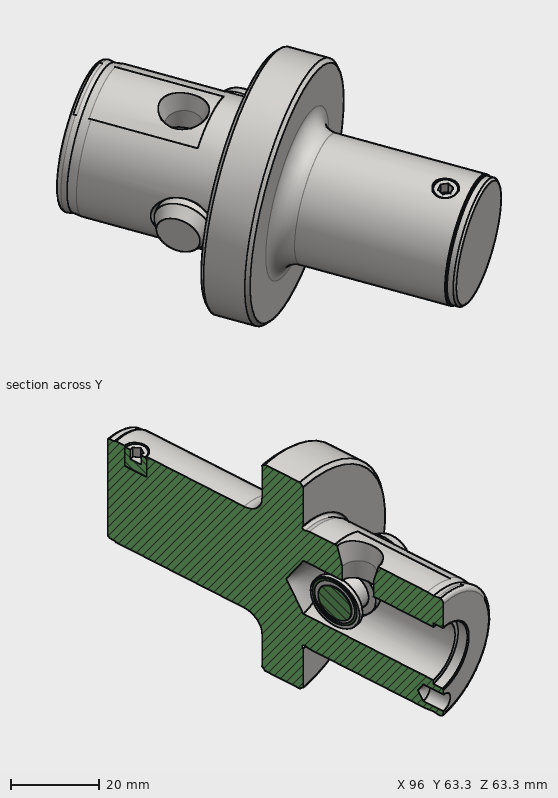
import cadquery as cq
import math

length = 96.0

flange_diameter = 63.3
flange_radius = flange_diameter / 2
flange_start = 40.0
flange_end = 51.9
flange_chamfer = 1.0

plug_radius = 18.0
plug_face_radius = 16.9
crown_x = 1.3
groove_radius = 17.8
groove_x = 2.8
groove_end = 5.1
relief_start = 38.3
relief_x = 39.5
relief_floor_radius = 17.8
relief_outer_radius = 18.7
relief_depth = 0.3

shaft_radius = 15.6
shaft_fillet = 5.1
shaft_end = 93.5
bevel_x = 93.8
bevel_radius = 15.5
tip_start = 94.0
tip_radius = 15.3
tip_chamfer = 0.6

panel_end = 31.0
panel_width = 17.0
panel_depth = 0.06

bore_radius = 8.1
bore_depth = 40.0
drill_tip_angle = 118.0
counterbore_radius = 9.2
counterbore_depth = 2.9
counterbore_chamfer = 0.3

locating_radius = 2.5
locating_z = -13.5
locating_depth = 5.8

access_x = 24.5
access_top_radius = 5.9
access_radius = 4.4
access_half_angle = 15.0

pin_x = 31.1
pin_radius = 7.0
pin_half_length = 21.5
pin_taper_length = 3.1
pin_tip_radius = 5.3
pin_mouth_radius = 8.0
pin_mouth_half_angle = 30.0
neck_radius = 5.0
neck_start = -6.1
neck_end = -1.2
ring_groove_radius = 4.8
ring_groove_start = -0.1
ring_groove_end = 1.1

ring_section_radius = (ring_groove_end - ring_groove_start) / 2
ring_outer_radius = 6.6
ring_offset_z = 0.43

screw_x = 87.9
screw_radius = 3.1
screw_top = 15.2
screw_length = 5.8
screw_chamfer = 0.3
socket_width = 3.1
socket_depth = 2.9


def cone_length(radius, half_angle):
    """Axial length over which a cone of this half angle changes by this radius."""
    return radius / math.tan(math.radians(half_angle))


def revolve_about_x(profile):
    return profile.close().revolve(360, (0, 0, 0), (1, 0, 0))


def turned_blank():
    """Plug, flange and shaft as one turned shape."""
    front_radius = plug_radius - plug_face_radius
    front_mid = (
        crown_x * (1 - math.sqrt(0.5)),
        plug_face_radius + front_radius * math.sqrt(0.5),
    )
    fillet_mid = (
        flange_end + shaft_fillet * (1 - math.sqrt(0.5)),
        shaft_radius + shaft_fillet * (1 - math.sqrt(0.5)),
    )
    relief_mid_radius = (relief_floor_radius + relief_outer_radius) / 2
    profile = (
        cq.Workplane("XY")
        .lineTo(0, plug_face_radius)
        .threePointArc(front_mid, (crown_x, plug_radius))
        .lineTo(groove_x, groove_radius)
        .lineTo(groove_end, plug_radius)
        .lineTo(relief_start, plug_radius)
        .lineTo(relief_x, relief_floor_radius)
        .threePointArc((flange_start + relief_depth, relief_mid_radius), (flange_start, relief_outer_radius))
        .lineTo(flange_start, flange_radius - flange_chamfer)
        .lineTo(flange_start + flange_chamfer, flange_radius)
        .lineTo(flange_end - flange_chamfer, flange_radius)
        .lineTo(flange_end, flange_radius - flange_chamfer)
        .lineTo(flange_end, shaft_radius + shaft_fillet)
        .threePointArc(fillet_mid, (flange_end + shaft_fillet, shaft_radius))
        .lineTo(shaft_end, shaft_radius)
        .lineTo(bevel_x, bevel_radius)
        .lineTo(tip_start, tip_radius)
        .lineTo(length - tip_chamfer, tip_radius)
        .lineTo(length, tip_radius - tip_chamfer)
        .lineTo(length, 0)
    )
    return revolve_about_x(profile)


def panel_recess():
    """Thin shell segment removed from the top of the plug."""
    height = 2 * plug_radius
    block = cq.Workplane("XY").box(panel_end, panel_width, height, centered=(False, True, False))
    core = cq.Workplane("YZ").circle(plug_radius - panel_depth).extrude(panel_end)
    return block.cut(core)


def central_bore():
    """Stepped bore with a chamfered mouth and a drill-point bottom."""
    tip_length = cone_length(bore_radius, drill_tip_angle / 2)
    profile = (
        cq.Workplane("XY")
        .lineTo(0, counterbore_radius + counterbore_chamfer)
        .lineTo(counterbore_chamfer, counterbore_radius)
        .lineTo(counterbore_depth, counterbore_radius)
        .lineTo(counterbore_depth, bore_radius)
        .lineTo(bore_depth, bore_radius)
        .lineTo(bore_depth + tip_length, 0)
    )
    return revolve_about_x(profile)


def locating_hole():
    tip_length = cone_length(locating_radius, drill_tip_angle / 2)
    profile = (
        cq.Workplane("XY")
        .lineTo(0, locating_radius)
        .lineTo(locating_depth, locating_radius)
        .lineTo(locating_depth + tip_length, 0)
    )
    return revolve_about_x(profile).translate((0, 0, locating_z))


def access_hole():
    """Tapered hole running on as a plain hole into the bore; the taper is extended above the surface."""
    taper = cone_length(access_top_radius - access_radius, access_half_angle)
    profile = (
        cq.Workplane("XZ")
        .lineTo(access_radius, 0)
        .lineTo(access_radius, plug_radius - taper)
        .lineTo(2 * access_top_radius - access_radius, plug_radius + taper)
        .lineTo(0, plug_radius + taper)
        .close()
    )
    return profile.revolve(360, (0, 0, 0), (0, 1, 0)).translate((access_x, 0, 0))


def pin_passage():
    """Cross hole for the pin, countersunk at both ends."""
    taper = cone_length(pin_mouth_radius - pin_radius, pin_mouth_half_angle)
    half = (
        cq.Workplane("XY")
        .lineTo(pin_radius, 0)
        .lineTo(pin_radius, plug_radius - taper)
        .lineTo(pin_mouth_radius, plug_radius)
        .lineTo(0, plug_radius)
        .close()
        .revolve(360, (0, 0, 0), (0, 1, 0))
    )
    return half.union(half.mirror("XZ")).translate((pin_x, 0, 0))


def screw_hole():
    depth = shaft_radius - screw_top + screw_length
    return (
        cq.Workplane("XY", origin=(screw_x, 0, shaft_radius))
        .circle(screw_radius)
        .extrude(-depth)
    )


def make_housing():
    return (
        turned_blank()
        .cut(panel_recess())
        .cut(central_bore())
        .cut(locating_hole())
        .cut(access_hole())
        .cut(pin_passage())
        .cut(screw_hole())
    )


def make_cross_pin():
    """Pin with tapered ends, a necked middle and a groove for the sealing ring."""
    straight_half = pin_half_length - pin_taper_length
    return (
        cq.Workplane("XY")
        .moveTo(0, -pin_half_length)
        .lineTo(pin_tip_radius, -pin_half_length)
        .lineTo(pin_radius, -straight_half)
        .lineTo(pin_radius, neck_start)
        .lineTo(neck_radius, neck_start)
        .lineTo(neck_radius, neck_end)
        .lineTo(pin_radius, neck_end)
        .lineTo(pin_radius, ring_groove_start)
        .lineTo(ring_groove_radius, ring_groove_start)
        .lineTo(ring_groove_radius, ring_groove_end)
        .lineTo(pin_radius, ring_groove_end)
        .lineTo(pin_radius, straight_half)
        .lineTo(pin_tip_radius, pin_half_length)
        .lineTo(0, pin_half_length)
        .close()
        .revolve(360, (0, 0, 0), (0, 1, 0))
        .translate((pin_x, 0, 0))
    )


def make_sealing_ring():
    groove_middle = (ring_groove_start + ring_groove_end) / 2
    ring_middle_radius = ring_outer_radius - ring_section_radius
    return (
        cq.Workplane("XY")
        .moveTo(ring_middle_radius, 0)
        .circle(ring_section_radius)
        .revolve(360, (0, 0, 0), (0, 1, 0))
        .translate((pin_x, groove_middle, ring_offset_z))
    )


def make_set_screw():
    """Headless screw with a hexagon socket whose corners point along Y."""
    socket_corner_diameter = socket_width / math.cos(math.radians(30))
    socket = (
        cq.Workplane("XY")
        .polygon(6, socket_corner_diameter)
        .extrude(-socket_depth)
        .rotate((0, 0, 0), (0, 0, 1), 90)
    )
    return (
        cq.Workplane("XY")
        .circle(screw_radius)
        .extrude(-screw_length)
        .faces(">Z")
        .chamfer(screw_chamfer)
        .cut(socket)
        .translate((screw_x, 0, screw_top))
    )


housing = make_housing()
cross_pin = make_cross_pin()
sealing_ring = make_sealing_ring()
set_screw = make_set_screw()

result = cq.Compound.makeCompound(
    [housing.val(), cross_pin.val(), sealing_ring.val(), set_screw.val()]
)